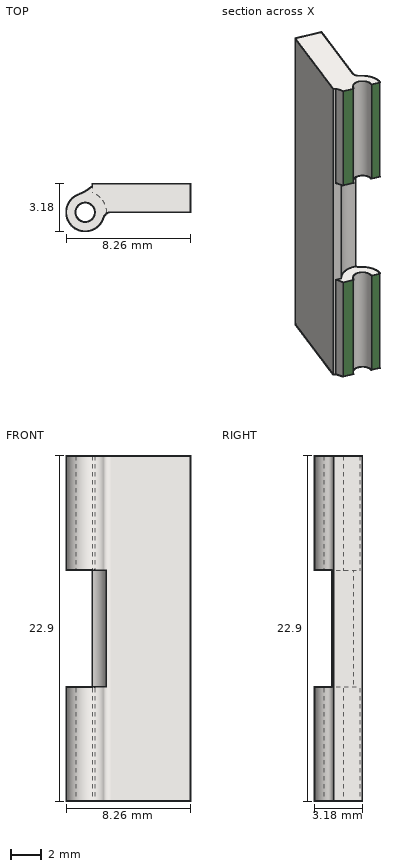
import cadquery as cq
import math

leaf_height = 22.86
leaf_thickness = 1.905
leaf_end_x = 6.985
leaf_start_x = 0.457
barrel_radius = 1.27
pin_diameter = 1.27
front_fillet_radius = 0.508
back_blend_radius = 3.175
back_lip_height = 0.178
radial_clearance = 0.127
axial_clearance = 0.1

gap_height = leaf_height / 3 + axial_clearance
gap_radius = barrel_radius + radial_clearance


def polar(radius, angle):
    """Point at a given distance and angle (radians) around the hinge axis."""
    return (radius * math.cos(angle), radius * math.sin(angle))


def arc_midpoint(center, start, end):
    """Middle of the shorter arc from start to end around center."""
    radius = math.dist(center, start)
    chord_x = (start[0] + end[0]) / 2 - center[0]
    chord_y = (start[1] + end[1]) / 2 - center[1]
    stretch = radius / math.hypot(chord_x, chord_y)
    return (center[0] + chord_x * stretch, center[1] + chord_y * stretch)


def leaf_profile():
    """Outline of barrel and leaf, seen along the hinge axis."""
    front_reach = barrel_radius + front_fillet_radius
    front_angle = -math.asin(front_fillet_radius / front_reach)
    front_center = polar(front_reach, front_angle)
    front_on_leaf = (front_center[0], 0)
    front_on_barrel = polar(barrel_radius, front_angle)

    lip_foot = (leaf_start_x, leaf_thickness - back_lip_height)
    foot_distance = math.hypot(*lip_foot)
    back_reach = barrel_radius + back_blend_radius
    cos_turn = (back_reach**2 + foot_distance**2 - back_blend_radius**2) / (2 * back_reach * foot_distance)
    back_angle = math.atan2(lip_foot[1], lip_foot[0]) + math.acos(cos_turn)
    back_center = polar(back_reach, back_angle)
    back_on_barrel = polar(barrel_radius, back_angle)

    barrel_middle_angle = (front_angle + back_angle - 2 * math.pi) / 2

    return (
        cq.Workplane("XY")
        .moveTo(leaf_start_x, leaf_thickness)
        .lineTo(leaf_end_x, leaf_thickness)
        .lineTo(leaf_end_x, 0)
        .lineTo(*front_on_leaf)
        .threePointArc(arc_midpoint(front_center, front_on_leaf, front_on_barrel), front_on_barrel)
        .threePointArc(polar(barrel_radius, barrel_middle_angle), back_on_barrel)
        .threePointArc(arc_midpoint(back_center, back_on_barrel, lip_foot), lip_foot)
        .close()
    )


def pin_hole():
    """Bore for the hinge pin, through both knuckles."""
    return cq.Workplane("XY").circle(pin_diameter / 2).extrude(leaf_height)


def knuckle_gap():
    """Central opening: a clearance cylinder plus everything on the hinge side of the leaf edge."""
    gap_base = cq.Workplane("XY").workplane(offset=(leaf_height - gap_height) / 2)
    clearance = gap_base.circle(gap_radius).extrude(gap_height)
    box_side = 2 * leaf_thickness
    hinge_side = gap_base.center(leaf_start_x - box_side / 2, 0).rect(box_side, box_side).extrude(gap_height)
    return clearance.union(hinge_side)


result = leaf_profile().extrude(leaf_height).cut(pin_hole()).cut(knuckle_gap())